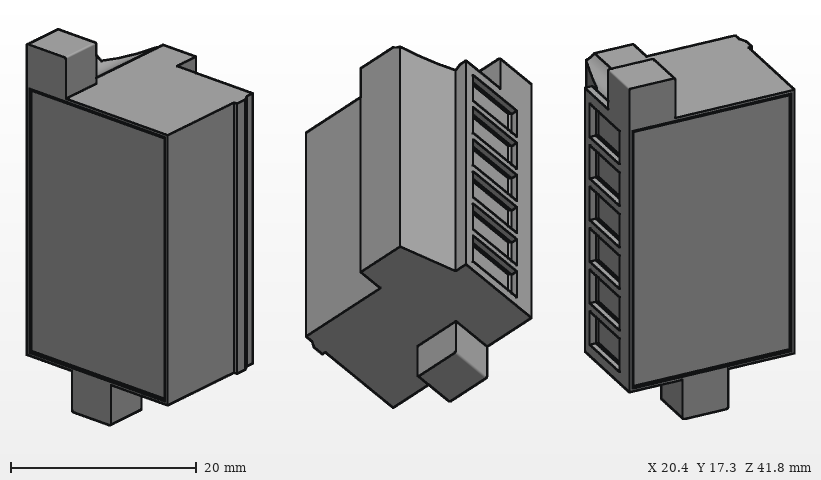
import cadquery as cq

body_width = 20.0
body_depth = 17.3
body_height = 32.1
tab_height = 4.85
body_bottom = tab_height
body_top = body_bottom + body_height

step_x = 9.25
step_y = 14.13
ledge_y = 10.6
slope_start_x = 1.5
slope_end_x = 3.55
latch_width = 0.4
latch_low_y = 11.0
latch_crest_y = 12.37
latch_high_y = 13.15

tab_width = 5.55
tab_depth = 5.05
bottom_tab_x = 6.4
top_tab_round = 0.2
bottom_tab_round = 0.3

hollow_start_x = 0.88
hollow_end_x = 4.55
hollow_depth = 0.75

panel_margin = 0.38
panel_recess = 0.13
panel_bevel = 0.2

window_count = 6
window_pitch = 5.05
window_height = 4.05
window_front_y = 2.4
window_rear_y = 9.45
window_wall_depth = 0.75
window_bevel_depth = 0.15
window_front_bevel = 0.38
window_rear_bevel = 0.25
window_end_bevel = 0.13


def make_body():
    """Upright prism with a sloping rear left corner and a latch ridge."""
    latch_x = body_width + latch_width
    outline = [
        (0, 0),
        (body_width, 0),
        (body_width, latch_low_y),
        (latch_x, latch_low_y),
        (latch_x, latch_crest_y),
        (body_width, latch_high_y),
        (body_width, step_y),
        (step_x, step_y),
        (step_x, body_depth),
        (slope_end_x, body_depth),
        (slope_start_x, ledge_y),
        (0, ledge_y),
    ]
    base = cq.Workplane("XY", origin=(0, 0, body_bottom))
    return base.polyline(outline).close().extrude(body_height)


def make_hollow():
    """Shallow round-bottomed channel running from the top tab to the rear."""
    middle_x = (hollow_start_x + hollow_end_x) / 2
    return (
        cq.Workplane("XZ", origin=(0, tab_depth, 0))
        .moveTo(hollow_start_x, body_top)
        .threePointArc((middle_x, body_top - hollow_depth), (hollow_end_x, body_top))
        .close()
        .extrude(-(body_depth - tab_depth))
    )


def make_tab(left_x, bottom_z, end_face, end_round):
    """Mounting tab whose two side edges at the free end are rounded."""
    return (
        cq.Workplane("XY", origin=(left_x, 0, bottom_z))
        .box(tab_width, tab_depth, tab_height, centered=False)
        .faces(end_face)
        .edges("|Y")
        .fillet(end_round)
    )


def make_panel_recess():
    """Shallow front recess with sloping sides."""
    opening_width = body_width - 2 * panel_margin
    opening_height = body_height - 2 * panel_margin
    return (
        cq.Workplane("XZ", origin=(body_width / 2, 0, body_bottom + body_height / 2))
        .rect(opening_width, opening_height)
        .workplane(offset=-panel_recess)
        .rect(opening_width - 2 * panel_bevel, opening_height - 2 * panel_bevel)
        .loft(ruled=True)
    )


def make_window(center_z):
    """Pocket with straight walls that slope inward next to the floor."""
    opening_width = window_rear_y - window_front_y
    floor_front_y = window_front_y + window_front_bevel
    floor_rear_y = window_rear_y - window_rear_bevel
    floor_shift = (floor_front_y + floor_rear_y - window_front_y - window_rear_y) / 2
    mouth = cq.Workplane("YZ", origin=(0, (window_front_y + window_rear_y) / 2, center_z))
    walls = mouth.rect(opening_width, window_height).extrude(window_wall_depth)
    bevel = (
        mouth.workplane(offset=window_wall_depth)
        .rect(opening_width, window_height)
        .workplane(offset=window_bevel_depth)
        .center(floor_shift, 0)
        .rect(floor_rear_y - floor_front_y, window_height - 2 * window_end_bevel)
        .loft(ruled=True)
    )
    return walls.union(bevel)


result = make_body().cut(make_hollow())
result = result.union(make_tab(0, body_top, ">Z", top_tab_round))
result = result.union(make_tab(bottom_tab_x, 0, "<Z", bottom_tab_round))
result = result.cut(make_panel_recess())

row_center_z = body_bottom + body_height / 2
for index in range(window_count):
    window_offset = (index - (window_count - 1) / 2) * window_pitch
    result = result.cut(make_window(row_center_z + window_offset))